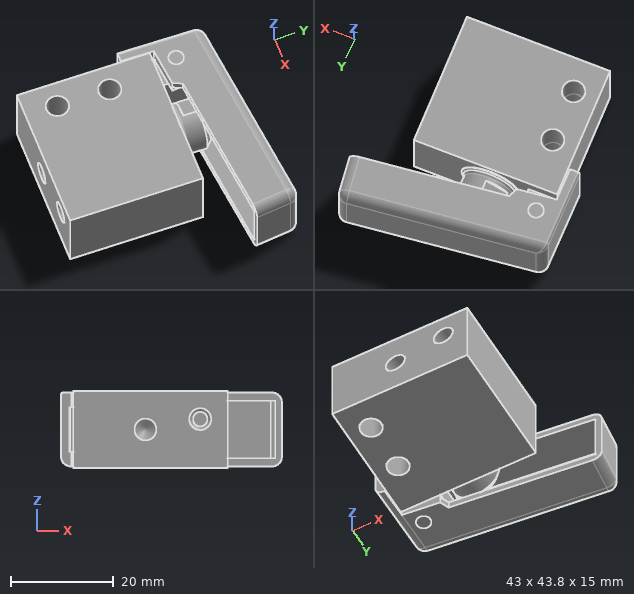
import cadquery as cq
import math

block_length = 30.0
block_height = 27.5
block_width = 15.0

mount_hole_diameter = 4.5
mount_hole_x = 5.0
mount_hole_heights = (6.55, 17.4)

port_diameter = 4.25
port_depth = 10.0
port_tip_angle = 118.0
plain_port_x = 14.0
flat_port_x = 24.65
flat_port_z = 2.0
flat_port_tip_diameter = 2.8

tab_length = 6.0
tab_width = 8.6
tab_height = 10.5
pin_diameter = 3.02
pin_x = 2.6
pin_y = 32.03

plunger_x = plain_port_x
plunger_diameter = 10.3
plunger_height = 5.9
plunger_chamfer = 1.0
flat_distance = 4.45
flat_angle = 28.0
flat_start = 1.75
collar_diameter = 11.9
collar_rim = 0.15
collar_shoulder_diameter = 10.85
collar_shoulder = 0.4
collar_height = 0.9
collar_arc_radius = 1.1

lever_width = 14.4
arm_angle = math.radians(6.4)
arm_end = 38.05
arm_top = 7.8
arm_lip = -1.45
hub_bottom = -3.25
hub_end = 4.8
hub_slope_end = 5.83

foot_lean = math.radians(0.7)
foot_left = -2.4
foot_right = -0.35
foot_bottom = 21.65
foot_recess = 0.4

large_radius = 2.0
small_radius = 0.5
side_wall = 1.65
end_wall = 1.35
roof = 1.5


def arm_point(u, v):
    """Point at u along and v across the lever arm, measured from the pin."""
    x = pin_x + u * math.cos(arm_angle) - v * math.sin(arm_angle)
    y = pin_y + u * math.sin(arm_angle) + v * math.cos(arm_angle)
    return (x, y)


def foot_point(foot_x, v):
    """Where a foot side starting at foot_x on the foot bottom meets the arm line at v."""
    lean = math.tan(foot_lean)
    slope = math.tan(arm_angle)
    start_y = pin_y + (foot_x - pin_x) * slope + v / math.cos(arm_angle)
    rise = (start_y - foot_bottom) / (1 - lean * slope)
    return (foot_x + rise * lean, foot_bottom + rise)


def prism(points, width):
    """Outline in the XY plane, extruded evenly to both sides of Z = 0."""
    return cq.Workplane("XY").polyline(points).close().extrude(width / 2, both=True)


def cross_cylinder(x, y, diameter, width):
    """Cylinder along Z, centred on Z = 0."""
    return cq.Workplane("XY").center(x, y).circle(diameter / 2).extrude(width / 2, both=True)


def port(x, z, tip_diameter):
    """Drilled port going up from the bottom face; the cone narrows to tip_diameter."""
    radius = port_diameter / 2
    tip_radius = tip_diameter / 2
    tip_y = port_depth + (radius - tip_radius) / math.tan(math.radians(port_tip_angle / 2))
    profile = [(0, 0), (radius, 0), (radius, port_depth), (tip_radius, tip_y)]
    if tip_radius > 0:
        profile.append((0, tip_y))
    half_section = cq.Workplane("XY").polyline(profile).close()
    return half_section.revolve(360, (0, 0), (0, 1)).translate((x, 0, z))


def make_block():
    """Block with its hinge tab, mounting holes, ports and pin hole."""
    block = cq.Workplane("XY").box(block_length, block_height, block_width, centered=(False, False, True))
    tab = cq.Workplane("XY").box(tab_length, tab_height, tab_width, centered=(False, False, True))
    block = block.union(tab.translate((0, block_height, 0)))
    for height in mount_hole_heights:
        block = block.cut(cross_cylinder(mount_hole_x, height, mount_hole_diameter, block_width))
    block = block.cut(port(plain_port_x, 0, 0))
    block = block.cut(port(flat_port_x, flat_port_z, flat_port_tip_diameter))
    return block.cut(make_pin())


def make_pin():
    """Hinge pin, flush with both sides of the lever."""
    return cross_cylinder(pin_x, pin_y, pin_diameter, lever_width)


def make_plunger():
    """Round plunger with a flared collar, a chamfered end and one flat on its side."""
    radius = plunger_diameter / 2
    profile = (
        cq.Workplane("XY")
        .lineTo(collar_diameter / 2, 0)
        .lineTo(collar_diameter / 2, collar_rim)
        .lineTo(collar_shoulder_diameter / 2, collar_shoulder)
        .radiusArc((radius, collar_height), collar_arc_radius)
        .lineTo(radius, plunger_height - plunger_chamfer)
        .lineTo(radius - plunger_chamfer, plunger_height)
        .lineTo(0, plunger_height)
        .close()
    )
    plunger = profile.revolve(360, (0, 0), (0, 1))
    flat_cutter = (
        cq.Workplane("XY")
        .box(plunger_diameter, plunger_height - flat_start, radius, centered=(True, False, False))
        .translate((0, flat_start, flat_distance))
        .rotate((0, 0, 0), (0, 1, 0), -flat_angle)
    )
    return plunger.cut(flat_cutter).translate((plunger_x, block_height, 0))


def lever_shell():
    """Outer shape of the lever, with its rounded edges."""
    outline = [
        (foot_left, foot_bottom),
        (foot_right, foot_bottom),
        foot_point(foot_right, hub_bottom),
        arm_point(hub_end, hub_bottom),
        arm_point(hub_slope_end, arm_lip),
        arm_point(arm_end, arm_lip),
        arm_point(arm_end, arm_top),
        foot_point(foot_left, arm_top),
    ]
    shell = prism(outline, lever_width)

    def edge_near(x, y, z):
        return cq.selectors.NearestToPointSelector((x, y, z))

    foot_top = foot_point(foot_left, arm_top)
    foot_middle = ((foot_left + foot_top[0]) / 2, (foot_bottom + foot_top[1]) / 2)
    arm_corner = arm_point(arm_end, arm_top)
    arm_middle = ((foot_top[0] + arm_corner[0]) / 2, (foot_top[1] + arm_corner[1]) / 2)
    end_middle = arm_point(arm_end, (arm_top + arm_lip) / 2)
    side = lever_width / 2
    large_edges = edge_near(*foot_top, 0) + edge_near(*arm_corner, 0) + edge_near(*foot_middle, -side)
    for z in (-side, side):
        large_edges = large_edges + edge_near(*arm_middle, z) + edge_near(*end_middle, z)
    shell = shell.edges(large_edges).fillet(large_radius)
    return shell.edges(edge_near(*foot_middle, side)).fillet(small_radius)


def lever_hollow():
    """Wide hollow under the arm and the narrower slot around the hinge tab."""
    ceiling = arm_top - roof
    arm_hollow = [
        arm_point(hub_end, hub_bottom),
        arm_point(arm_end - end_wall, hub_bottom),
        arm_point(arm_end - end_wall, ceiling),
        arm_point(hub_end, ceiling),
    ]
    slot_left = foot_right - foot_recess
    tab_slot = [
        (slot_left, foot_bottom),
        (foot_right, foot_bottom),
        foot_point(foot_right, hub_bottom),
        arm_point(hub_end, hub_bottom),
        arm_point(hub_end, ceiling),
        foot_point(slot_left, ceiling),
    ]
    return prism(arm_hollow, lever_width - 2 * side_wall).union(prism(tab_slot, tab_width))


def make_lever():
    """Hollow lever with the hinge pin hole."""
    return lever_shell().cut(lever_hollow()).cut(make_pin())


block = make_block()
pin = make_pin()
plunger = make_plunger()
lever = make_lever()

result = cq.Compound.makeCompound([block.val(), pin.val(), plunger.val(), lever.val()])